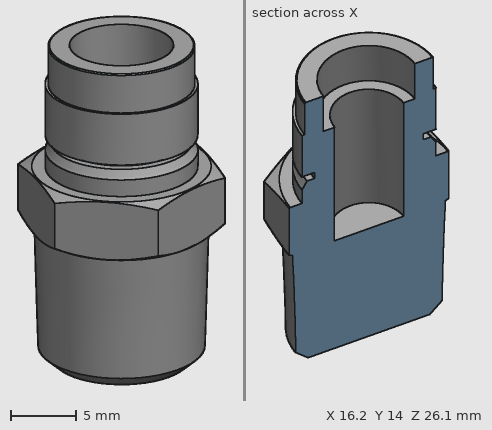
import cadquery as cq
import math

total_height = 26.15
lead_in_height = 1.0
hex_bottom = 11.0
hex_top = 16.0
collar_edge = 17.4
collar_break = 17.57
collar_top = 18.1
groove_top = 18.65
band_top = 22.9

tip_radius = 5.33
shank_bottom_radius = 6.43
shank_top_radius = 6.72
collar_radius = 5.88
collar_break_radius = 5.75
collar_top_radius = 5.45
groove_radius = 4.79
nose_radius = 5.65
nose_chamfer = 0.1

across_flats = 14.0
across_corners = across_flats / math.cos(math.radians(30))
corner_radius = across_corners / 2
hex_top_radius = 6.9
hex_bottom_radius = 6.72
top_trim_drop = 0.42
bottom_trim_rise = 0.75

bore_radius = 4.0
bore_depth = 3.58
inner_bore_radius = 3.0
inner_bore_floor = hex_bottom


def revolve_profile(points):
    """Revolve a closed (radius, height) outline around the Z axis."""
    return cq.Workplane("XZ").polyline(points).close().revolve(360, (0, 0, 0), (0, 1, 0))


def turned_body():
    return revolve_profile([
        (0, 0),
        (tip_radius, 0),
        (shank_bottom_radius, lead_in_height),
        (shank_top_radius, hex_bottom),
        (collar_radius, hex_bottom),
        (collar_radius, collar_edge),
        (collar_break_radius, collar_break),
        (collar_top_radius, collar_top),
        (groove_radius, collar_top),
        (groove_radius, groove_top),
        (collar_radius, groove_top),
        (collar_radius, band_top),
        (nose_radius, band_top),
        (nose_radius, total_height - nose_chamfer),
        (nose_radius - nose_chamfer, total_height),
        (0, total_height),
    ])


def hexagon():
    """Hexagon with corners on X, trimmed by a cone at each end."""
    prism = (
        cq.Workplane("XY")
        .workplane(offset=hex_bottom)
        .polygon(6, across_corners)
        .extrude(hex_top - hex_bottom)
    )
    trim = revolve_profile([
        (0, hex_bottom),
        (hex_bottom_radius, hex_bottom),
        (corner_radius, hex_bottom + bottom_trim_rise),
        (corner_radius, hex_top - top_trim_drop),
        (hex_top_radius, hex_top),
        (0, hex_top),
    ])
    return prism.intersect(trim)


def stepped_bore():
    shoulder = total_height - bore_depth
    return revolve_profile([
        (0, inner_bore_floor),
        (inner_bore_radius, inner_bore_floor),
        (inner_bore_radius, shoulder),
        (bore_radius, shoulder),
        (bore_radius, total_height),
        (0, total_height),
    ])


result = turned_body().union(hexagon()).cut(stepped_bore())